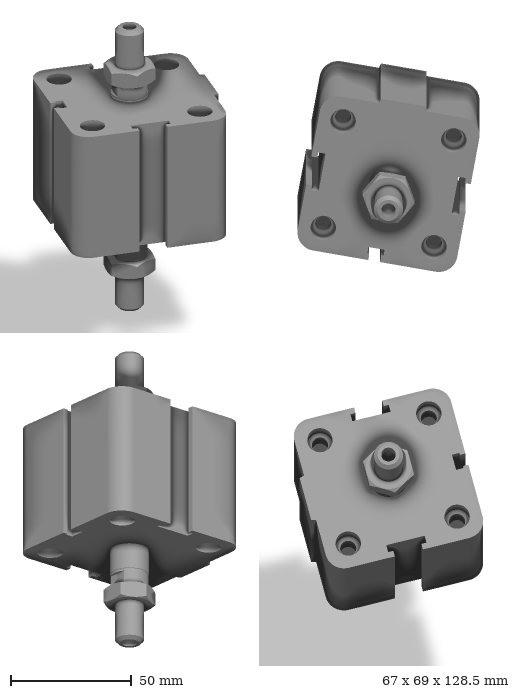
import cadquery as cq
import math

housing_side = 67.0
housing_height = 55.5
corner_radius = 7.75

cap_height = 14.5
barrel_height = housing_height - 2 * cap_height

tab_base_width = 20.0
tab_top_width = 19.0
tab_height = 2.0

side_slot_opening = 12.0
side_slot_width = 16.4
side_slot_lip = 2.5
side_slot_depth = 5.6

front_slot_opening = 5.0
front_slot_width = 6.8
front_slot_lip = 2.3
front_slot_depth = 5.5

screw_spacing = 46.5
screw_counterbore_diameter = 10.5
screw_counterbore_depth = 6.5
screw_hole_diameter = 6.65
screw_hole_depth = cap_height

overall_length = 128.5
stroke = 10.0
rod_diameter = 16.0
rod_bore_diameter = 6.0
neck_diameter = 15.6
neck_edge_chamfer = 0.3
neck_step_height = (rod_diameter - neck_diameter) / 2
neck_start = 0.8
flat_start = 2.0
flat_across = 13.0
thread_diameter = 12.0
thread_length = 24.0
thread_chamfer = 1.5

nut_across_flats = 19.0
nut_height = 7.0
nut_face_diameter = 18.8
nut_chamfer_angle = 30.0
nut_countersink_diameter = 12.6

rod_top = housing_height + (overall_length - housing_height - stroke) / 2
rod_bottom = rod_top - overall_length
rod_middle = (rod_top + rod_bottom) / 2
end_reach = overall_length / 2
shoulder_reach = end_reach - thread_length
neck_reach = housing_height + neck_start - rod_middle
flat_reach = housing_height + flat_start - rod_middle


def t_slot(opening, width, lip, depth, height):
    """T-slot running along Z, open toward -Y at the housing's -Y face."""
    face = -housing_side / 2
    outline = [
        (-opening / 2, face),
        (-opening / 2, face + lip),
        (-width / 2, face + lip),
        (-width / 2, face + depth),
        (width / 2, face + depth),
        (width / 2, face + lip),
        (opening / 2, face + lip),
        (opening / 2, face),
    ]
    return cq.Workplane("XY").polyline(outline).close().extrude(height)


def make_tab(height):
    """Tapered rail along the +Y face."""
    face = housing_side / 2
    outline = [
        (-tab_base_width / 2, face),
        (-tab_top_width / 2, face + tab_height),
        (tab_top_width / 2, face + tab_height),
        (tab_base_width / 2, face),
    ]
    return cq.Workplane("XY").polyline(outline).close().extrude(height)


def make_section(height):
    """Length of the housing profile: rounded square with a tab, three T-slots and the rod passage."""
    section = (
        cq.Workplane("XY")
        .rect(housing_side, housing_side)
        .extrude(height)
        .edges("|Z")
        .fillet(corner_radius)
        .union(make_tab(height))
    )
    side_slot = t_slot(side_slot_opening, side_slot_width, side_slot_lip, side_slot_depth, height)
    for angle in (-90, 90):
        section = section.cut(side_slot.rotate((0, 0, 0), (0, 0, 1), angle))
    front_slot = t_slot(front_slot_opening, front_slot_width, front_slot_lip, front_slot_depth, height)
    rod_passage = cq.Workplane("XY").circle(rod_diameter / 2).extrude(height)
    return section.cut(front_slot).cut(rod_passage)


def make_housing():
    """One solid; joining its sections without cleaning keeps the seam lines between caps and barrel."""
    upper_seam = cap_height + barrel_height
    block = (
        make_section(cap_height)
        .union(make_section(barrel_height).translate((0, 0, cap_height)), clean=False)
        .union(make_section(cap_height).translate((0, 0, upper_seam)), clean=False)
    )
    for end_face in (">Z", "<Z"):
        block = (
            block.faces(end_face)
            .workplane(origin=(0, 0, 0))
            .rect(screw_spacing, screw_spacing, forConstruction=True)
            .vertices()
            .cboreHole(screw_hole_diameter, screw_counterbore_diameter,
                       screw_counterbore_depth, screw_hole_depth, clean=False)
        )
    return block


def make_rod():
    bore_radius = rod_bore_diameter / 2
    thread_radius = thread_diameter / 2
    neck_radius = neck_diameter / 2
    upper_profile = [
        (bore_radius, end_reach),
        (thread_radius - thread_chamfer, end_reach),
        (thread_radius, end_reach - thread_chamfer),
        (thread_radius, shoulder_reach),
        (neck_radius - neck_edge_chamfer, shoulder_reach),
        (neck_radius, shoulder_reach - neck_edge_chamfer),
        (neck_radius, neck_reach + neck_step_height),
        (rod_diameter / 2, neck_reach),
    ]
    lower_profile = [(radius, -height) for radius, height in reversed(upper_profile)]
    rod = cq.Workplane("XZ").polyline(upper_profile + lower_profile).close().revolve()
    flat_length = shoulder_reach - flat_reach
    for end in (-1, 1):
        for side in (-1, 1):
            flat_cut = cq.Workplane("XY").box(rod_diameter, rod_diameter, flat_length).translate(
                (0, side * (flat_across + rod_diameter) / 2, end * (flat_reach + flat_length / 2))
            )
            rod = rod.cut(flat_cut)
    return rod.translate((0, 0, rod_middle))


def make_nut():
    """Hex nut chamfered on both faces, standing on Z = 0."""
    corner_diameter = nut_across_flats / math.cos(math.radians(30))
    face_radius = nut_face_diameter / 2
    corner_reach = corner_diameter / 2
    chamfer_drop = (corner_reach - face_radius) * math.tan(math.radians(nut_chamfer_angle))
    thread_radius = thread_diameter / 2
    countersink_radius = nut_countersink_diameter / 2
    countersink_depth = countersink_radius - thread_radius
    turned_profile = [
        (thread_radius, countersink_depth),
        (countersink_radius, 0),
        (face_radius, 0),
        (corner_reach, chamfer_drop),
        (corner_reach, nut_height - chamfer_drop),
        (face_radius, nut_height),
        (countersink_radius, nut_height),
        (thread_radius, nut_height - countersink_depth),
    ]
    turned_blank = cq.Workplane("XZ").polyline(turned_profile).close().revolve()
    return cq.Workplane("XY").polygon(6, corner_diameter).extrude(nut_height).intersect(turned_blank)


housing = make_housing()
rod = make_rod()
nut_bases = (rod_middle + shoulder_reach, rod_middle - shoulder_reach - nut_height)
nuts = [make_nut().translate((0, 0, base)) for base in nut_bases]

result = cq.Compound.makeCompound([housing.val(), rod.val(), *[nut.val() for nut in nuts]])